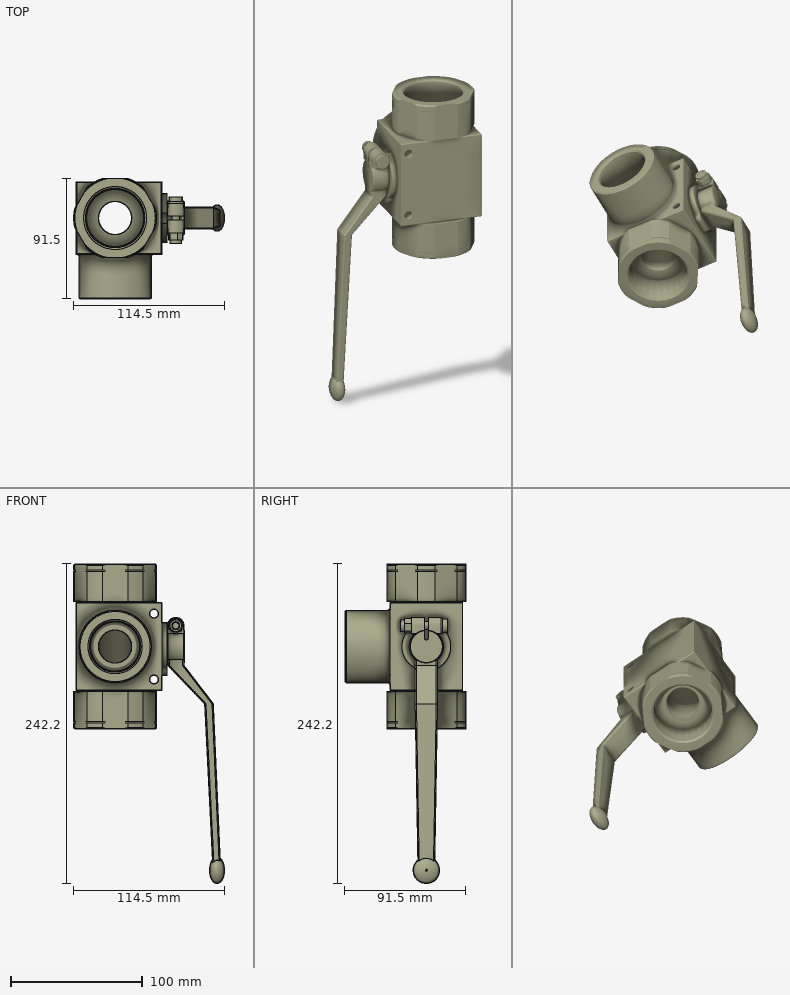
import cadquery as cq
import math

BLOCK_LEFT = -29.5
BLOCK_RIGHT = 35.5
BLOCK_DEPTH = 55.0
BLOCK_HEIGHT = 67.0
BLOCK_EDGE_BREAK = 0.5
BORE_DIAMETER = 25.0

MOUNTING_HOLE_DIAMETER = 6.5
MOUNTING_HOLE_X = 29.5
MOUNTING_HOLE_Z = 25.0

PORT_END_Z = 62.5
HEX_START_Z = 34.2
HEX_ACROSS_FLATS = 60.0
HEX_TURNED_DIAMETER = 63.0
HEX_END_CHAMFER = 1.0
GROOVE_DIAMETER = 62.0
GROOVE_WIDTH = 1.0
GROOVE_TO_END = 4.5
NECK_DIAMETER = 54.0
END_BORE_MOUTH_DIAMETER = 47.8
END_BORE_DIAMETER = 45.0
END_BORE_FLOOR_DIAMETER = 43.26
END_BORE_DEPTH = 23.5

BRANCH_END_Y = -61.5
BRANCH_DIAMETER = 55.0
BRANCH_ROOT_RADIUS = 1.9
BRANCH_END_CHAMFER = 0.9
BRANCH_BORE_MOUTH_DIAMETER = 41.2
BRANCH_BORE_DIAMETER = 38.95
BRANCH_BORE_FLOOR_DIAMETER = 37.31
BRANCH_BORE_DEPTH = 25.0

DISC_DIAMETER = 37.0
DISC_THICKNESS = 4.0
DISC_NOTCH_DIAMETER = 8.0
STOP_LUG_END_Z = -22.0
STOP_LUG_WIDTH = 16.0
STOP_LUG_CORNER_RADIUS = 3.5
STOP_LUG_ROOT_RADIUS = 2.0

HUB_START_X = BLOCK_RIGHT + DISC_THICKNESS
HUB_LENGTH = 13.0
HUB_END_X = HUB_START_X + HUB_LENGTH
HUB_DIAMETER = 26.0
HUB_CHAMFER = 0.8

EAR_RADIUS = 6.25
EAR_HALF_SPAN = 11.2
EAR_BASE_Z = 10.0
SCREW_X = (HUB_START_X + HUB_END_X) / 2
SCREW_Z = 15.8
CLAMP_SLOT_WIDTH = 3.0
CLAMP_SLOT_FLOOR_Z = 5.0
SCREW_DIAMETER = 6.0
SCREW_TIP_DIAMETER = 4.92
SCREW_HEAD_DIAMETER = 10.0
SCREW_HEAD_END_Y = 16.0
WASHER_DIAMETER = 12.0
WASHER_END_Y = 12.4
NUT_ACROSS_FLATS = 10.0
NUT_TURN = 18.0
NUT_END_Y = -16.7
NUT_COLLAR_DIAMETER = 9.0
NUT_COLLAR_END_Y = -19.5

ARM_ROOT_Z = -5.0
ARM_TOP_Z = -14.5
KNEE_Z = -43.4
GRIP_END_Z = -165.0
ARM_LEFT_X = HUB_START_X + 0.7
ARM_RIGHT_X = HUB_END_X - 0.2
KNEE_LEFT_X = 67.9
KNEE_RIGHT_X = 74.5
GRIP_END_LEFT_X = 74.0
GRIP_END_RIGHT_X = 79.9
ARM_HALF_WIDTH = 8.5
GRIP_END_HALF_WIDTH = 6.4
ARM_EDGE_CHAMFER = 1.0

KNOB_RADIUS = 10.0
KNOB_X = 77.32
KNOB_HALF_THICKNESS = 5.7
KNOB_Z = -169.7


def y_cylinder(diameter, start_y, end_y, x=0.0, z=0.0):
    """Cylinder whose axis runs along Y."""
    circle = cq.Workplane("XZ", origin=(x, start_y, z)).circle(diameter / 2)
    return circle.extrude(start_y - end_y)


def x_cylinder(diameter, start_x, length, y=0.0, z=0.0):
    """Cylinder whose axis runs along X."""
    return cq.Workplane("YZ", origin=(start_x, y, z)).circle(diameter / 2).extrude(length)


def port_bore(mouth_diameter, diameter, floor_diameter, depth):
    """Tapered blind bore with a chamfered mouth, opening at Z = 0 and going down."""
    mouth_depth = (mouth_diameter - diameter) / 2
    profile = cq.Workplane("XZ").polyline([
        (0, 0),
        (mouth_diameter / 2, 0),
        (diameter / 2, -mouth_depth),
        (floor_diameter / 2, -depth),
        (0, -depth),
    ])
    return profile.close().revolve(360, (0, 0), (0, 1))


def block():
    width = BLOCK_RIGHT - BLOCK_LEFT
    body = cq.Workplane("XY").box(width, BLOCK_DEPTH, BLOCK_HEIGHT)
    body = body.translate(((BLOCK_LEFT + BLOCK_RIGHT) / 2, 0, 0))
    return body.edges("|Y or |X").edges(">Z or <Z or >X").chamfer(BLOCK_EDGE_BREAK)


def end_port():
    """Upper hexagonal port, standing on the block."""
    height = PORT_END_Z - HEX_START_Z
    turned_radius = HEX_TURNED_DIAMETER / 2
    corner_diameter = HEX_ACROSS_FLATS / math.cos(math.pi / 6)
    hexagon = cq.Workplane("XY").workplane(offset=HEX_START_Z)
    hexagon = hexagon.polygon(6, corner_diameter).extrude(height)

    turned = cq.Workplane("XY").workplane(offset=HEX_START_Z).circle(turned_radius).extrude(height)
    turned = turned.faces(">Z").chamfer(HEX_END_CHAMFER)
    groove_z = PORT_END_Z - GROOVE_TO_END - GROOVE_WIDTH
    groove = cq.Workplane("XY").workplane(offset=groove_z)
    groove = groove.circle(turned_radius).circle(GROOVE_DIAMETER / 2).extrude(GROOVE_WIDTH)

    neck = cq.Workplane("XY").circle(NECK_DIAMETER / 2).extrude(HEX_START_Z)
    return hexagon.intersect(turned.cut(groove)).union(neck)


def branch_port():
    """Round port toward -Y with a rounded root and a chamfered end."""
    radius = BRANCH_DIAMETER / 2
    face_y = -BLOCK_DEPTH / 2
    root = BRANCH_ROOT_RADIUS
    arc_offset = root * (1 - math.sqrt(0.5))
    profile = (
        cq.Workplane("XY")
        .moveTo(0, 0)
        .lineTo(0, BRANCH_END_Y)
        .lineTo(radius - BRANCH_END_CHAMFER, BRANCH_END_Y)
        .lineTo(radius, BRANCH_END_Y + BRANCH_END_CHAMFER)
        .lineTo(radius, face_y - root)
        .threePointArc((radius + arc_offset, face_y - arc_offset), (radius + root, face_y))
        .lineTo(radius, face_y)
        .lineTo(radius, 0)
        .close()
    )
    return profile.revolve(360, (0, 0), (0, 1))


def stop_disc():
    """Disc on the +X face with a round notch at the top and a rounded lug at the bottom."""
    disc = x_cylinder(DISC_DIAMETER, BLOCK_RIGHT, DISC_THICKNESS)
    lug = cq.Workplane("YZ", origin=(BLOCK_RIGHT, 0, STOP_LUG_END_Z / 2))
    lug = lug.rect(STOP_LUG_WIDTH, -STOP_LUG_END_Z).extrude(DISC_THICKNESS)
    lug = lug.edges("|X and <Z").fillet(STOP_LUG_CORNER_RADIUS)
    disc = disc.union(lug)
    lug_sides = disc.faces("|Y")
    disc = lug_sides.edges("|X").edges(">Z").fillet(STOP_LUG_ROOT_RADIUS)
    notch = x_cylinder(DISC_NOTCH_DIAMETER, BLOCK_RIGHT, DISC_THICKNESS, z=DISC_DIAMETER / 2)
    return disc.cut(notch)


def build_housing():
    upper_port = end_port()
    upper_bore = port_bore(
        END_BORE_MOUTH_DIAMETER, END_BORE_DIAMETER, END_BORE_FLOOR_DIAMETER, END_BORE_DEPTH
    ).translate((0, 0, PORT_END_Z))
    branch_bore = port_bore(
        BRANCH_BORE_MOUTH_DIAMETER, BRANCH_BORE_DIAMETER, BRANCH_BORE_FLOOR_DIAMETER, BRANCH_BORE_DEPTH
    ).rotate((0, 0, 0), (1, 0, 0), 90).translate((0, BRANCH_END_Y, 0))

    housing = block().union(upper_port).union(upper_port.mirror("XY"))
    housing = housing.union(branch_port()).union(stop_disc())
    housing = housing.cut(upper_bore).cut(upper_bore.mirror("XY")).cut(branch_bore)

    through_bore = cq.Workplane("XY").workplane(offset=-PORT_END_Z)
    through_bore = through_bore.circle(BORE_DIAMETER / 2).extrude(2 * PORT_END_Z)
    housing = housing.cut(through_bore).cut(y_cylinder(BORE_DIAMETER, 0, BRANCH_END_Y))
    for hole_z in (MOUNTING_HOLE_Z, -MOUNTING_HOLE_Z):
        hole = y_cylinder(
            MOUNTING_HOLE_DIAMETER, BLOCK_DEPTH / 2, -BLOCK_DEPTH / 2, MOUNTING_HOLE_X, hole_z
        )
        housing = housing.cut(hole)
    return housing


def clamp_hub():
    """Hub with two slotted clamp ears on top."""
    hub = x_cylinder(HUB_DIAMETER, HUB_START_X, HUB_LENGTH).edges().chamfer(HUB_CHAMFER)
    ears = y_cylinder(2 * EAR_RADIUS, EAR_HALF_SPAN, -EAR_HALF_SPAN, SCREW_X, SCREW_Z)
    ear_base = cq.Workplane("XY", origin=(SCREW_X, 0, EAR_BASE_Z))
    ear_base = ear_base.rect(2 * EAR_RADIUS, 2 * EAR_HALF_SPAN).extrude(SCREW_Z - EAR_BASE_Z)

    slot_radius = CLAMP_SLOT_WIDTH / 2
    slot_top_z = SCREW_Z + EAR_RADIUS
    slot = (
        cq.Workplane("YZ", origin=(HUB_START_X, 0, 0))
        .moveTo(-slot_radius, slot_top_z)
        .lineTo(-slot_radius, CLAMP_SLOT_FLOOR_Z + slot_radius)
        .threePointArc((0, CLAMP_SLOT_FLOOR_Z), (slot_radius, CLAMP_SLOT_FLOOR_Z + slot_radius))
        .lineTo(slot_radius, slot_top_z)
        .close()
        .extrude(HUB_LENGTH)
    )
    return hub.union(ears).union(ear_base).cut(slot)


def clamp_screw():
    """Screw through the ears: round head on a washer at +Y, nut with a round collar at -Y."""
    shank = y_cylinder(SCREW_DIAMETER, EAR_HALF_SPAN, NUT_COLLAR_END_Y, SCREW_X, SCREW_Z)
    tip_chamfer = (SCREW_DIAMETER - SCREW_TIP_DIAMETER) / 2
    shank = shank.faces("<Y").chamfer(tip_chamfer)
    head = y_cylinder(SCREW_HEAD_DIAMETER, SCREW_HEAD_END_Y, EAR_HALF_SPAN, SCREW_X, SCREW_Z)
    washer = y_cylinder(WASHER_DIAMETER, WASHER_END_Y, EAR_HALF_SPAN, SCREW_X, SCREW_Z)
    nut = cq.Workplane("XZ", origin=(SCREW_X, -EAR_HALF_SPAN, SCREW_Z))
    nut = nut.transformed(rotate=(0, 0, NUT_TURN)).polygon(6, NUT_ACROSS_FLATS / math.cos(math.pi / 6))
    nut = nut.extrude(-EAR_HALF_SPAN - NUT_END_Y)
    collar = y_cylinder(NUT_COLLAR_DIAMETER, NUT_END_Y, NUT_COLLAR_END_Y, SCREW_X, SCREW_Z)
    collar = collar.cut(y_cylinder(SCREW_DIAMETER, NUT_END_Y, NUT_COLLAR_END_Y, SCREW_X, SCREW_Z))
    return head.union(washer).union(nut).union(collar).union(shank)


def lever_section(z, left_x, right_x, half_width):
    """Horizontal section of the arm or grip: a rectangle with chamfered corners."""
    inner_half_width = half_width - ARM_EDGE_CHAMFER
    return cq.Wire.makePolygon([
        cq.Vector(left_x + ARM_EDGE_CHAMFER, -half_width, z),
        cq.Vector(right_x - ARM_EDGE_CHAMFER, -half_width, z),
        cq.Vector(right_x, -inner_half_width, z),
        cq.Vector(right_x, inner_half_width, z),
        cq.Vector(right_x - ARM_EDGE_CHAMFER, half_width, z),
        cq.Vector(left_x + ARM_EDGE_CHAMFER, half_width, z),
        cq.Vector(left_x, inner_half_width, z),
        cq.Vector(left_x, -inner_half_width, z),
    ], close=True)


def arm_and_grip():
    """Arm slanting away from the hub, then a grip that tapers down to the knob."""
    in_hub = lever_section(ARM_ROOT_Z, ARM_LEFT_X, ARM_RIGHT_X, ARM_HALF_WIDTH)
    arm_top = lever_section(ARM_TOP_Z, ARM_LEFT_X, ARM_RIGHT_X, ARM_HALF_WIDTH)
    knee = lever_section(KNEE_Z, KNEE_LEFT_X, KNEE_RIGHT_X, ARM_HALF_WIDTH)
    grip_end = lever_section(GRIP_END_Z, GRIP_END_LEFT_X, GRIP_END_RIGHT_X, GRIP_END_HALF_WIDTH)
    return cq.Workplane(cq.Solid.makeLoft([in_hub, arm_top, knee, grip_end], True))


def knob():
    """Ball flattened along X."""
    half = cq.Workplane("XZ", origin=(KNOB_X, 0, KNOB_Z))
    half = half.ellipseArc(KNOB_HALF_THICKNESS, KNOB_RADIUS, 0, 180, startAtCurrent=False).close()
    return half.revolve(360, (0, 0), (1, 0))


def build_lever():
    return clamp_hub().union(arm_and_grip()).union(knob()).union(clamp_screw())


housing = build_housing()
lever = build_lever()
result = cq.Compound.makeCompound([housing.val(), lever.val()])